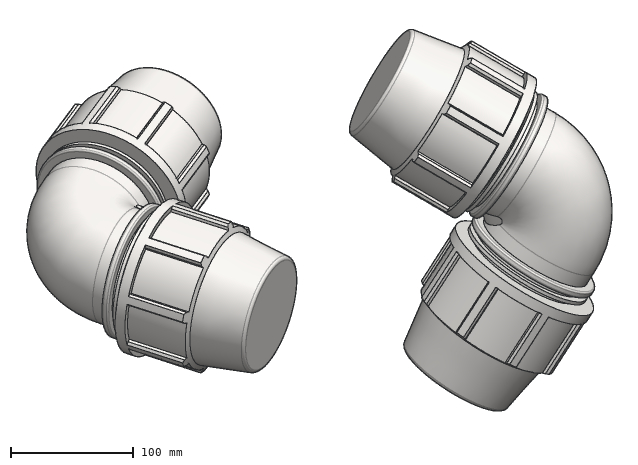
import cadquery as cq
import math


overall_length = 250.0
flange_diameter = 132.0
flange_radius = flange_diameter / 2
leg_length = overall_length - flange_radius

pipe_radius = 99.0 / 2
bend_radius = 46.5

web_center = 40.0
web_radius = 35.0
web_width = 25.0

thick_ring_start = 58.2
thick_ring_width = 6.0
thick_ring_radius = 114.8 / 2
thick_ring_fillet = 1.5
thin_ring_start = 68.2
thin_ring_width = 3.0
thin_ring_radius = 112.5 / 2

flange_start = 75.0
flange_width = 9.0
flange_end = flange_start + flange_width
body_radius = 61.2
shoulder_start = 134.2
shoulder_end = 138.2
cone_base_radius = 56.8
tip_radius = pipe_radius
tip_fillet = 3.0

rib_count = 8
rib_pitch = 360.0 / rib_count
rib_width = 9.8
rib_top_width = 6.8
rib_bevel_height = 2.5
rib_root_radius = body_radius - 2.5
rim_clearance = 2.5


def make_ring(start, width, radius):
    """Solid disc on the Z axis."""
    return cq.Workplane("XY").workplane(offset=start).circle(radius).extrude(width)


def make_nut_envelope():
    """Turned outline of the nut at full rim radius, with a bevelled shoulder and tapered nose."""
    outline = [
        (0, flange_start),
        (flange_radius, flange_start),
        (flange_radius, shoulder_start),
        (cone_base_radius, shoulder_end),
        (tip_radius, leg_length),
        (0, leg_length),
    ]
    nut = cq.Workplane("XZ").polyline(outline).close().revolve(360, (0, 0), (0, 1))
    return nut.faces(">Z").edges().fillet(tip_fillet)


def make_rib_gaps():
    """Sleeve between the body and the rim with the ribs taken out of it."""
    gap_length = shoulder_end - flange_end
    base = cq.Workplane("XY").workplane(offset=flange_end)
    sleeve_radius = flange_radius + rim_clearance
    sleeve = base.circle(sleeve_radius).circle(body_radius).extrude(gap_length)
    bevel_start = flange_radius - rib_bevel_height
    rib_outline = [
        (rib_root_radius, -rib_width / 2),
        (bevel_start, -rib_width / 2),
        (flange_radius, -rib_top_width / 2),
        (sleeve_radius, -rib_top_width / 2),
        (sleeve_radius, rib_top_width / 2),
        (flange_radius, rib_top_width / 2),
        (bevel_start, rib_width / 2),
        (rib_root_radius, rib_width / 2),
    ]
    rib = base.polyline(rib_outline).close().extrude(gap_length)
    for index in range(rib_count):
        angle = (index + 0.5) * rib_pitch
        sleeve = sleeve.cut(rib.rotate((0, 0, 0), (0, 0, 1), angle))
    return sleeve


def make_leg():
    """Pipe, rings and nut of one leg, built along +Z."""
    pipe = make_ring(bend_radius, flange_start - bend_radius, pipe_radius)
    thick_ring = make_ring(thick_ring_start, thick_ring_width, thick_ring_radius)
    thick_ring = thick_ring.edges().fillet(thick_ring_fillet)
    thin_ring = make_ring(thin_ring_start, thin_ring_width, thin_ring_radius)
    nut = make_nut_envelope().cut(make_rib_gaps())
    return pipe.union(thick_ring).union(thin_ring).union(nut)


def make_bend():
    """Quarter-turn bend; the pipe section is trimmed where it would pass the bend axis."""
    half_chord = math.sqrt(pipe_radius**2 - bend_radius**2)
    section = (
        cq.Workplane("XZ", origin=(0, bend_radius, 0))
        .moveTo(bend_radius, -half_chord)
        .threePointArc((-pipe_radius, 0), (bend_radius, half_chord))
        .close()
    )
    return section.revolve(90, (bend_radius, 0), (bend_radius, 1))


def make_corner_web():
    """Short cylinder across the inner corner, square to the bisector of the legs."""
    center = web_center / math.sqrt(2)
    plane = cq.Plane(origin=(center, center, 0), xDir=(0, 0, 1), normal=(1, -1, 0))
    return cq.Workplane(plane).circle(web_radius).extrude(web_width / 2, both=True)


leg = make_leg()
x_leg = leg.rotate((0, 0, 0), (0, 1, 0), 90)
y_leg = leg.rotate((0, 0, 0), (1, 0, 0), -90)

result = make_bend().union(x_leg).union(y_leg).union(make_corner_web())